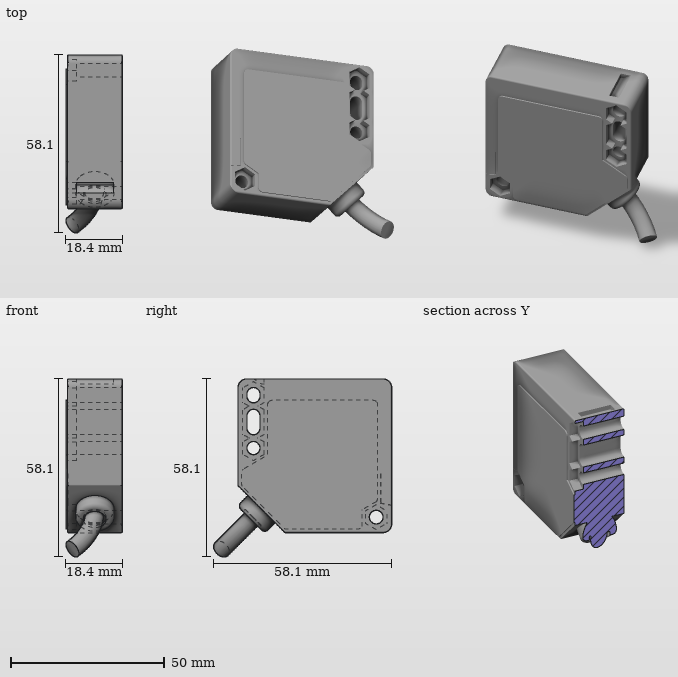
import math

import cadquery as cq

THICKNESS = 18.0
SIDE = 50.2
HALF = SIDE / 2
CORNER_RADIUS = 3.0
CUT_CORNER = 15.4
CUT_EDGE_RADIUS = 0.5
CUT_SUM = CUT_CORNER - SIDE
EDGE_ROUND = 0.55
MOUNT_FACE_X = -THICKNESS / 2

PLATE_HEIGHT = 0.44
PLATE_TOP_Z = 18.1
PLATE_BOTTOM_Z = -23.9
PLATE_BACK_Y = 20.5
PLATE_STEP_Y = -15.4
PLATE_FRONT_Y = -23.9
PLATE_FOOT_Y = 15.4
PLATE_SHOULDER_Z = 0.25
PLATE_FOOT_Z = -17.6
PLATE_CUT_INSET = 1.2
PLATE_RADIUS = 1.5

HEX_SLOPE = math.tan(math.radians(30))

FRONT_HOLE_Y = -20.0
REAR_HOLE_Y = 20.0
REAR_HOLE_Z = -20.0
FRONT_HOLE_RANGES = [(19.4, 20.1), (9.0, 13.0), (2.5, 2.5)]
FRONT_HOLE_DIAMETER = 4.2
REAR_HOLE_DIAMETER = 4.4
HEX_FLATS = 7.0
HEX_DEPTH = 3.0

WINDOW_LENGTH = 12.0
WINDOW_BACK_Y = -16.5
WINDOW_FLOOR_Y = -17.4
WINDOW_FRONT_Y = -19.9
WINDOW_DEPTH = 1.65

SLIT_Y = 21.5
SLIT_TOP_Z = -6.0
SLIT_CORNER_Z = -15.4
SLIT_REAR_Z = -16.1
SLIT_WIDTH = 0.1
SLIT_DEPTH = 0.3

GLAND_DIAMETER = 12.6
GLAND_LENGTH = 4.8
GLAND_ROUND = 1.5
GLAND_BORE_DIAMETER = 7.4
GLAND_BORE_DEPTH = 1.0
CABLE_DIAMETER = 6.0
CABLE_BEND_RADIUS = 25.0
CABLE_BEND_ANGLE = 45.0
CABLE_START = 0.75


def side_sketch(x):
    """Workplane at the given X, with local axes (Y, Z) and extrusion towards +X."""
    return cq.Workplane("YZ", origin=(x, 0, 0))


def fillet_corners(body, corners, radius):
    """Round the edges of a prism along X that pass nearest to the given (Y, Z) corners."""
    mid_x = body.val().Center().x
    for y, z in corners:
        nearest = cq.selectors.NearestToPointSelector((mid_x, y, z))
        body = body.edges("|X").edges(nearest).fillet(radius)
    return body


def make_housing():
    """Square block with one cut corner; the straight edges are rounded, the round corners keep sharp rims."""
    block = cq.Workplane("XY").box(THICKNESS, SIDE, SIDE)
    cut_setback = HALF - CUT_CORNER
    rounded = block.faces("<X or >X").edges().fillet(EDGE_ROUND)
    outline = (
        side_sketch(MOUNT_FACE_X)
        .polyline([
            (HALF, HALF),
            (-HALF, HALF),
            (-HALF, -cut_setback),
            (-cut_setback, -HALF),
            (HALF, -HALF),
        ])
        .close()
        .extrude(THICKNESS)
    )
    outline = fillet_corners(outline, [(HALF, HALF), (-HALF, HALF), (HALF, -HALF)], CORNER_RADIUS)
    cut_ends = [(-HALF, -cut_setback), (-cut_setback, -HALF)]
    outline = fillet_corners(outline, cut_ends, CUT_EDGE_RADIUS)
    return rounded.intersect(outline)


def make_plate():
    """Raised cover plate whose outline steps around the nut pockets."""
    shoulder_front_z = PLATE_SHOULDER_Z - (PLATE_STEP_Y - PLATE_FRONT_Y) * HEX_SLOPE
    foot_back_z = PLATE_FOOT_Z + (PLATE_BACK_Y - PLATE_FOOT_Y) * HEX_SLOPE
    plate_cut_sum = CUT_SUM + PLATE_CUT_INSET
    plate = (
        side_sketch(MOUNT_FACE_X - PLATE_HEIGHT)
        .polyline([
            (PLATE_BACK_Y, PLATE_TOP_Z),
            (PLATE_STEP_Y, PLATE_TOP_Z),
            (PLATE_STEP_Y, PLATE_SHOULDER_Z),
            (PLATE_FRONT_Y, shoulder_front_z),
            (PLATE_FRONT_Y, plate_cut_sum - PLATE_FRONT_Y),
            (plate_cut_sum - PLATE_BOTTOM_Z, PLATE_BOTTOM_Z),
            (PLATE_FOOT_Y, PLATE_BOTTOM_Z),
            (PLATE_FOOT_Y, PLATE_FOOT_Z),
            (PLATE_BACK_Y, foot_back_z),
        ])
        .close()
        .extrude(PLATE_HEIGHT)
    )
    rounded = [
        (PLATE_BACK_Y, PLATE_TOP_Z),
        (PLATE_STEP_Y, PLATE_TOP_Z),
        (PLATE_FRONT_Y, shoulder_front_z),
        (PLATE_FRONT_Y, plate_cut_sum - PLATE_FRONT_Y),
        (PLATE_FOOT_Y, PLATE_BOTTOM_Z),
        (PLATE_BACK_Y, foot_back_z),
    ]
    return fillet_corners(plate, rounded, PLATE_RADIUS)


def make_nut_hole(y, low_z, high_z, diameter):
    """Through hole or slot along Z with its elongated hexagonal nut pocket."""
    mid_z = (low_z + high_z) / 2
    travel = high_z - low_z
    half_flats = HEX_FLATS / 2
    half_side = half_flats * HEX_SLOPE
    tip = 2 * half_side
    pocket = (
        side_sketch(MOUNT_FACE_X)
        .polyline([
            (y, high_z + tip),
            (y - half_flats, high_z + half_side),
            (y - half_flats, low_z - half_side),
            (y, low_z - tip),
            (y + half_flats, low_z - half_side),
            (y + half_flats, high_z + half_side),
        ])
        .close()
        .extrude(HEX_DEPTH)
    )
    sketch = side_sketch(MOUNT_FACE_X).center(y, mid_z)
    if travel > 0:
        hole = sketch.slot2D(travel + diameter, diameter, 90).extrude(THICKNESS)
    else:
        hole = sketch.circle(diameter / 2).extrude(THICKNESS)
    return pocket.union(hole)


def make_window():
    """Recess in the top face: steep back wall, narrow floor, then a slope up to the front edge."""
    floor_z = HALF - WINDOW_DEPTH
    return (
        side_sketch(-WINDOW_LENGTH / 2)
        .polyline([
            (WINDOW_BACK_Y, HALF),
            (WINDOW_BACK_Y, floor_z),
            (WINDOW_FLOOR_Y, floor_z),
            (WINDOW_FRONT_Y, HALF),
        ])
        .close()
        .extrude(WINDOW_LENGTH)
    )


def make_slit():
    """L-shaped slit: straight down along Z, then slightly sloping out to the rear edge."""
    return (
        side_sketch(MOUNT_FACE_X)
        .polyline([
            (SLIT_Y, SLIT_TOP_Z),
            (SLIT_Y, SLIT_CORNER_Z),
            (HALF, SLIT_REAR_Z),
            (HALF, SLIT_REAR_Z - SLIT_WIDTH),
            (SLIT_Y - SLIT_WIDTH, SLIT_CORNER_Z - SLIT_WIDTH),
            (SLIT_Y - SLIT_WIDTH, SLIT_TOP_Z),
        ])
        .close()
        .extrude(SLIT_DEPTH)
    )


def make_gland_and_cable():
    """Rounded gland on the cut corner, with a cable that bends towards -X."""
    face_middle = CUT_SUM / 2
    gland_plane = cq.Plane(origin=(0, face_middle, face_middle), xDir=(-1, 0, 0), normal=(0, -1, -1))
    gland = (
        cq.Workplane(gland_plane)
        .circle(GLAND_DIAMETER / 2)
        .extrude(GLAND_LENGTH)
        .faces(cq.selectors.DirectionMinMaxSelector(gland_plane.zDir, True))
        .edges()
        .fillet(GLAND_ROUND)
    )
    bore = (
        cq.Workplane(gland_plane)
        .workplane(offset=GLAND_LENGTH - GLAND_BORE_DEPTH)
        .circle(GLAND_BORE_DIAMETER / 2)
        .extrude(GLAND_BORE_DEPTH)
    )
    cable = (
        cq.Workplane(gland_plane)
        .workplane(offset=CABLE_START)
        .circle(CABLE_DIAMETER / 2)
        .revolve(CABLE_BEND_ANGLE, (CABLE_BEND_RADIUS, 0, 0), (CABLE_BEND_RADIUS, 1, 0))
    )
    return gland.cut(bore).union(cable)


result = make_housing().cut(make_slit()).union(make_plate())
for low_z, high_z in FRONT_HOLE_RANGES:
    result = result.cut(make_nut_hole(FRONT_HOLE_Y, low_z, high_z, FRONT_HOLE_DIAMETER))
result = result.cut(make_nut_hole(REAR_HOLE_Y, REAR_HOLE_Z, REAR_HOLE_Z, REAR_HOLE_DIAMETER))
result = result.cut(make_window())
result = result.union(make_gland_and_cable())